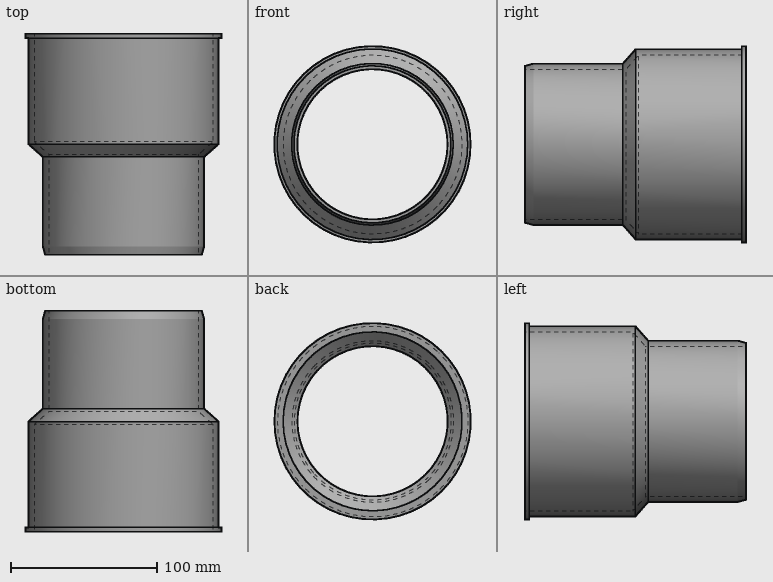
import cadquery as cq

total_length = 151.0
flange_diameter = 134.2
socket_diameter = 130.2
socket_bore = 122.2
spigot_diameter = 110.4
spigot_bore = 102.4
spigot_tip_diameter = 107.2

tip_length = 5.7
spigot_length = 66.9
cone_length = 8.8
flange_thickness = 3.0
bore_cone_offset = 1.8

cone_end = spigot_length + cone_length
flange_start = total_length - flange_thickness

half_section = [
    (spigot_bore / 2, 0),
    (spigot_tip_diameter / 2, 0),
    (spigot_diameter / 2, tip_length),
    (spigot_diameter / 2, spigot_length),
    (socket_diameter / 2, cone_end),
    (socket_diameter / 2, flange_start),
    (flange_diameter / 2, flange_start),
    (flange_diameter / 2, total_length),
    (socket_bore / 2, total_length),
    (socket_bore / 2, cone_end + bore_cone_offset),
    (spigot_bore / 2, spigot_length + bore_cone_offset),
]

result = cq.Workplane("XY").polyline(half_section).close().revolve(360, (0, 0, 0), (0, 1, 0))